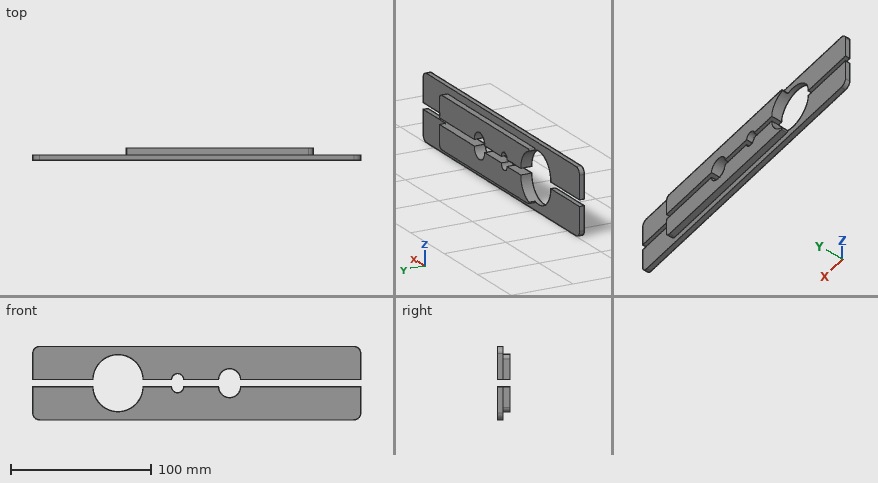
import cadquery as cq

plate_length = 233.81
total_height = 52.5
total_thickness = 9.0

gap = 5.0
plate_thickness = 4.0
plate_height = (total_height - gap) / 2
plate_corner_radius = 5.0

strip_start = 66.5
strip_end = 200.0
strip_height = 18.2
strip_thickness = total_thickness - plate_thickness
strip_start_radius = 1.0
strip_end_radius = 3.5

cutouts = [
    (60.8, 35.5),
    (103.3, 8.5),
    (140.3, 15.5),
]


def edge_block(start, end, height, depth):
    """Block standing on the X axis and reaching from Y = 0 to Y = depth."""
    return cq.Workplane("XY").box(end - start, depth, height, centered=False).translate((start, 0, 0))


def plate():
    """Front plate with its two outer corners rounded."""
    blank = edge_block(0, plate_length, plate_height, plate_thickness)
    return blank.edges("|Y and >Z").fillet(plate_corner_radius)


def strip():
    """Raised strip behind the plate, rounded at both outer corners."""
    blank = edge_block(strip_start, strip_end, strip_height, strip_thickness)
    rounded = blank.edges("|Y and >Z and <X").fillet(strip_start_radius)
    rounded = rounded.edges("|Y and >Z and >X").fillet(strip_end_radius)
    return rounded.translate((0, plate_thickness, 0))


def clamp_half():
    """Upper half, centred along X, with its inner edge half a gap above Z = 0."""
    half = plate().union(strip())
    for position, diameter in cutouts:
        cutter = cq.Workplane("XZ").center(position, 0).circle(diameter / 2).extrude(-total_thickness)
        half = half.cut(cutter)
    return half.translate((-plate_length / 2, 0, gap / 2))


upper_half = clamp_half()
lower_half = upper_half.mirror("XY")

result = cq.Compound.makeCompound([upper_half.val(), lower_half.val()])